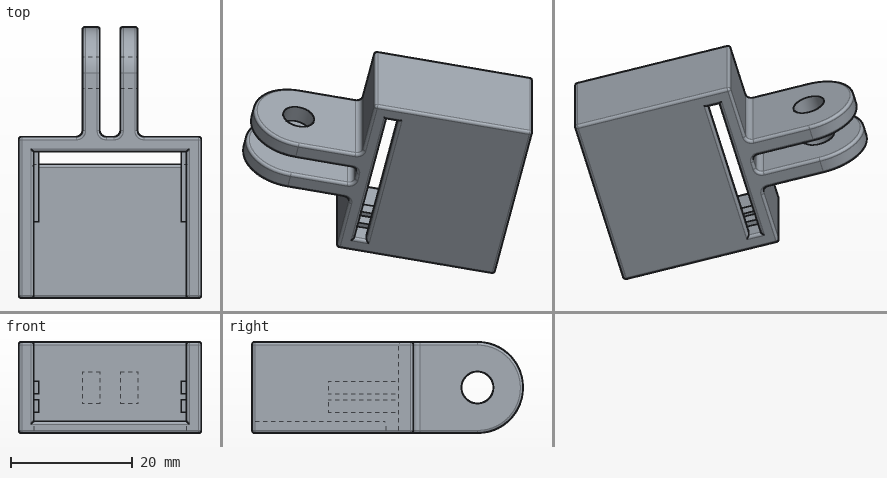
import cadquery as cq

width = 30.0
tray_length = 26.5
height = 15.0
wall = 2.5
floor_thickness = 2.0
edge_radius = 0.5

inner_half_width = width / 2 - wall
inner_back = tray_length - wall

slot_length = 2.0
slot_front = inner_back - slot_length

rail_depth = 0.85
rail_height = 2.05
rail_start = 12.5
rail_bottoms = (3.4, 6.5)

total_length = 44.5
lug_thickness = 2.9
lug_gap = 3.3
lug_radius = height / 2
lug_hole_diameter = 5.2
lug_root_radius = 1.0

lug_axis_y = total_length - lug_radius
lug_axis_z = height / 2
lug_offset = (lug_gap + lug_thickness) / 2

tolerance = 0.01


def block(x_min, x_max, y_min, y_max, z_min, z_max):
    """Axis-aligned box given by its limits."""
    size = (x_max - x_min, y_max - y_min, z_max - z_min)
    return cq.Workplane("XY").box(*size, centered=False).translate((x_min, y_min, z_min))


def make_lug(x_center):
    """Flat plate reaching back from the tray, with a full-round end."""
    return (
        cq.Workplane("YZ", origin=(x_center - lug_thickness / 2, 0, 0))
        .moveTo(inner_back, 0)
        .lineTo(lug_axis_y, 0)
        .threePointArc((total_length, lug_axis_z), (lug_axis_y, height))
        .lineTo(inner_back, height)
        .close()
        .extrude(lug_thickness)
    )


def make_body():
    """Block with both lugs and filleted lug roots, hollowed out and slotted."""
    body = block(-width / 2, width / 2, 0, tray_length, 0, height)
    for side in (-1, 1):
        body = body.union(make_lug(side * lug_offset))
    root_half_width = lug_offset + lug_thickness / 2 + tolerance
    root_zone = cq.selectors.BoxSelector(
        (-root_half_width, tray_length - tolerance, 0),
        (root_half_width, tray_length + tolerance, height),
    )
    body = body.edges("|Z").edges(root_zone).fillet(lug_root_radius)
    cavity = block(-inner_half_width, inner_half_width, 0, inner_back, floor_thickness, height)
    slot = block(-inner_half_width, inner_half_width, slot_front, inner_back, 0, floor_thickness)
    return body.cut(cavity).cut(slot)


def is_lug_tangent_line(edge):
    """True for the seams where the flat lug sides run into the round end."""
    box = edge.BoundingBox()
    return abs(box.ymin - lug_axis_y) < tolerance and abs(box.ymax - lug_axis_y) < tolerance


def round_edges(body):
    """Round the rims, the front frame, the slot, the back corners and the lug outlines."""
    rims = body.faces(">Z or <Z or <Y").edges().filter(lambda edge: not is_lug_tangent_line(edge))
    lug_ends = body.edges("%CIRCLE").filter(lambda edge: edge.Center().y > lug_axis_y)
    back_corners = body.edges("|Z").edges("<X or >X").edges(">Y")
    slot_step = cq.selectors.NearestToPointSelector((0, slot_front, floor_thickness))
    floor_back = body.edges("|X").edges(slot_step)
    return rims.add(lug_ends).add(back_corners).add(floor_back).fillet(edge_radius)


def add_rails(body):
    """Add the rails to both side walls, running up to the back wall."""
    for bottom in rail_bottoms:
        rail = block(
            inner_half_width - rail_depth,
            inner_half_width,
            rail_start,
            inner_back,
            bottom,
            bottom + rail_height,
        )
        body = body.union(rail).union(rail.mirror("YZ"))
    return body


def drill_lugs(body):
    """Drill the pivot hole through both lugs."""
    hole = (
        cq.Workplane("YZ", origin=(-width / 2, lug_axis_y, lug_axis_z))
        .circle(lug_hole_diameter / 2)
        .extrude(width)
    )
    return body.cut(hole)


result = drill_lugs(add_rails(round_edges(make_body())))